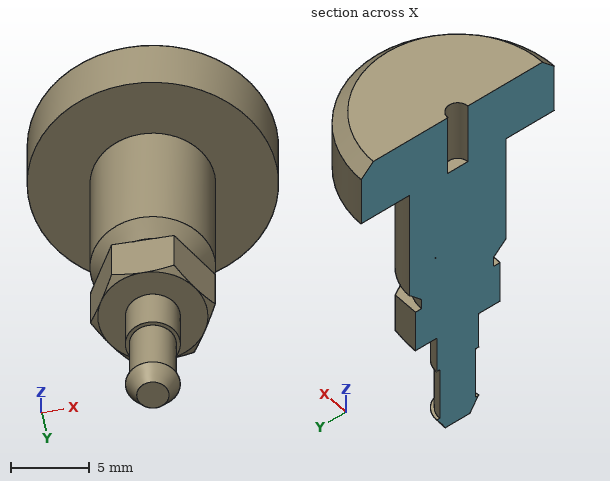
import cadquery as cq
import math

TIP_TOP = 1.2
STEM_TOP = 5.5
HEX_BOTTOM = 8.5
HEX_TOP = 12.0
NECK_TOP = 12.8
SHANK_BOTTOM = 13.8
HEAD_BOTTOM = 22.8
HEIGHT = 27.8

HEAD_DIAMETER = 16.0
SHANK_DIAMETER = 8.0
NECK_DIAMETER = 6.0
COLLAR_DIAMETER = 3.5
STEM_DIAMETER = 3.0
TIP_END_DIAMETER = 2.05
HEAD_CHAMFER = 1.0

HEX_ACROSS_FLATS = 7.0
HEX_ACROSS_CORNERS = HEX_ACROSS_FLATS / math.cos(math.radians(30))
HEX_CHAMFER_ANGLE = 30

HOLE_DIAMETER = 1.65
HOLE_DEPTH = HEIGHT - HEAD_BOTTOM


def cylinder(diameter, bottom, top):
    return cq.Workplane("XY", origin=(0, 0, bottom)).circle(diameter / 2).extrude(top - bottom)


def cone(bottom_diameter, top_diameter, bottom, top):
    profile = [
        (0, bottom),
        (bottom_diameter / 2, bottom),
        (top_diameter / 2, top),
        (0, top),
    ]
    return cq.Workplane("XZ").polyline(profile).close().revolve(360, (0, 0, 0), (0, 1, 0))


def hex_nut():
    """Hexagon whose lower corners are trimmed by a cone starting at the flats."""
    height = HEX_TOP - HEX_BOTTOM
    prism = (
        cq.Workplane("XY", origin=(0, 0, HEX_BOTTOM))
        .polygon(6, HEX_ACROSS_CORNERS)
        .extrude(height)
    )
    spread = 2 * height / math.tan(math.radians(HEX_CHAMFER_ANGLE))
    trimming_cone = cone(HEX_ACROSS_FLATS, HEX_ACROSS_FLATS + spread, HEX_BOTTOM, HEX_TOP)
    return prism.intersect(trimming_cone)


def head():
    disc = cylinder(HEAD_DIAMETER, HEAD_BOTTOM, HEIGHT)
    return disc.faces(">Z").chamfer(HEAD_CHAMFER)


tip = cone(TIP_END_DIAMETER, COLLAR_DIAMETER, 0, TIP_TOP)
stem = cylinder(STEM_DIAMETER, TIP_TOP, STEM_TOP)
collar = cylinder(COLLAR_DIAMETER, STEM_TOP, HEX_BOTTOM)
neck = cylinder(NECK_DIAMETER, HEX_TOP, NECK_TOP)
shank_taper = cone(NECK_DIAMETER, SHANK_DIAMETER, NECK_TOP, SHANK_BOTTOM)
shank = cylinder(SHANK_DIAMETER, SHANK_BOTTOM, HEAD_BOTTOM)
hole = cylinder(HOLE_DIAMETER, HEIGHT - HOLE_DEPTH, HEIGHT)

result = tip
for section in (stem, collar, hex_nut(), neck, shank_taper, shank, head()):
    result = result.union(section)
result = result.cut(hole)